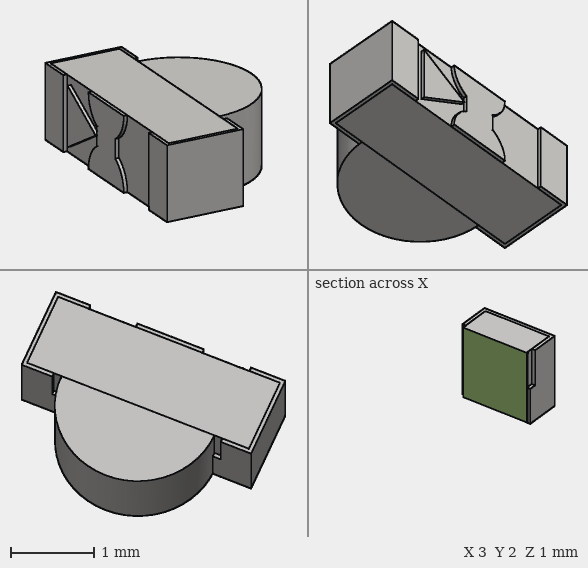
import cadquery as cq
import math

length = 3.0
height = length / 3
metal_thickness = height / 20
body_length = length - 2 * metal_thickness
body_depth = height - metal_thickness
body_back = body_depth / 2
body_front = -body_back

lens_radius = height

front_wrap = 0.45
back_wrap = 0.4
back_foot_end = length / 2 - lens_radius
back_foot_height = height / 2

pad_radius = 0.435
neck_width = 0.45

mark_side = 0.8 * height
mark_start = -0.95
mark_tip = mark_start + mark_side * math.sqrt(3) / 2


def box(x_min, x_max, y_min, y_max, z_height):
    """Box between two corners in plan, standing on the base plane z = 0."""
    return cq.Workplane("XY").box(
        x_max - x_min, y_max - y_min, z_height, centered=False
    ).translate((x_min, y_min, 0))


def make_body():
    return box(-body_length / 2, body_length / 2, body_front, body_back, height)


def make_lens():
    return (
        cq.Workplane("XY")
        .moveTo(-lens_radius, body_back)
        .threePointArc((0, body_back + lens_radius), (lens_radius, body_back))
        .close()
        .extrude(height)
    )


def make_terminal(side):
    """End cap with front and back wraps; side is -1 for the -X end, +1 for +X."""
    outer = -length / 2
    inner = -body_length / 2
    front = body_front - metal_thickness
    back = body_back + metal_thickness

    end_wall = box(outer, inner, front, back, height)
    front_flange = box(outer, outer + front_wrap, front, body_front, height)
    back_flange = box(outer, outer + back_wrap, body_back, back, height)
    back_foot = box(outer, outer + back_foot_end + metal_thickness, body_back, back, back_foot_height)
    terminal = end_wall.union(front_flange).union(back_flange).union(back_foot).cut(make_lens())
    if side > 0:
        terminal = terminal.mirror("YZ")
    return terminal


def make_pad():
    neck_offset = math.sqrt(pad_radius**2 - (neck_width / 2) ** 2)
    mid_angle = math.atan2(neck_offset, neck_width / 2) / 2
    mid_x = pad_radius * math.cos(mid_angle)
    mid_z = pad_radius * math.sin(mid_angle)
    neck_x = neck_width / 2
    return (
        cq.Workplane("XZ", origin=(0, body_front, 0))
        .moveTo(-pad_radius, 0)
        .lineTo(pad_radius, 0)
        .threePointArc((mid_x, mid_z), (neck_x, neck_offset))
        .lineTo(neck_x, height - neck_offset)
        .threePointArc((mid_x, height - mid_z), (pad_radius, height))
        .lineTo(-pad_radius, height)
        .threePointArc((-mid_x, height - mid_z), (-neck_x, height - neck_offset))
        .lineTo(-neck_x, neck_offset)
        .threePointArc((-mid_x, mid_z), (-pad_radius, 0))
        .close()
        .extrude(metal_thickness)
    )


def make_polarity_mark():
    middle = height / 2
    return (
        cq.Workplane("XZ", origin=(0, body_front, 0))
        .polyline([
            (mark_start, middle - mark_side / 2),
            (mark_tip, middle),
            (mark_start, middle + mark_side / 2),
        ])
        .close()
        .extrude(metal_thickness)
    )


body = make_body()
lens = make_lens()
terminals = [make_terminal(side) for side in (-1, 1)]
pad = make_pad()
polarity_mark = make_polarity_mark()

result = cq.Compound.makeCompound([
    body.val(),
    lens.val(),
    *[terminal.solids().val() for terminal in terminals],
    pad.val(),
    polarity_mark.val(),
])